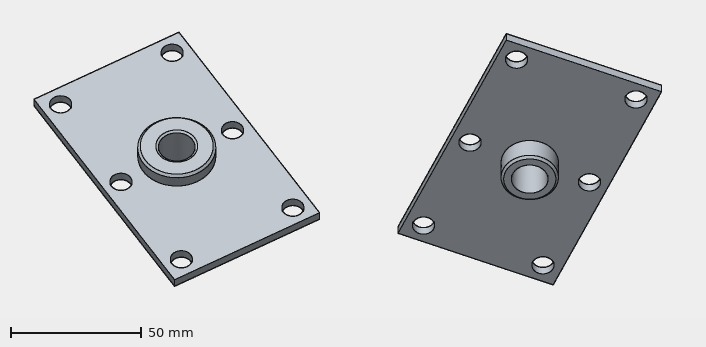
import cadquery as cq

PLATE_LENGTH = 105.0
PLATE_WIDTH = 65.0
PLATE_THICKNESS = 4.0
MOUNT_HOLE_DIAMETER = 8.5
MOUNT_HOLE_SPACING_X = 45.0
MOUNT_HOLE_SPACING_Y = 50.0

FLANGE_DIAMETER = 30.0
FLANGE_HEIGHT = 6.0
BARREL_DIAMETER = 22.0
BARREL_PROJECTION = 10.0
BORE_DIAMETER = 14.1
OUTER_CHAMFER = 1.0
BORE_CHAMFER_WIDTH = 1.0
BORE_CHAMFER_DEPTH = 0.58

FLANGE_TOP = PLATE_THICKNESS + FLANGE_HEIGHT


def make_plate():
    """Flat plate with two rows of three mounting holes and a seat for the bushing."""
    return (
        cq.Workplane("XY")
        .rect(PLATE_LENGTH, PLATE_WIDTH)
        .extrude(PLATE_THICKNESS)
        .faces(">Z")
        .workplane()
        .rarray(MOUNT_HOLE_SPACING_X, MOUNT_HOLE_SPACING_Y, 3, 2)
        .hole(MOUNT_HOLE_DIAMETER)
        .faces(">Z")
        .workplane(origin=(0, 0, PLATE_THICKNESS))
        .hole(BARREL_DIAMETER)
    )


def make_bushing():
    """Bushing whose flange rests on the plate and whose barrel passes through it."""
    barrel = (
        cq.Workplane("XY", origin=(0, 0, -BARREL_PROJECTION))
        .circle(BARREL_DIAMETER / 2)
        .extrude(BARREL_PROJECTION + PLATE_THICKNESS)
    )
    flange = (
        cq.Workplane("XY", origin=(0, 0, PLATE_THICKNESS))
        .circle(FLANGE_DIAMETER / 2)
        .extrude(FLANGE_HEIGHT)
    )
    body = barrel.union(flange)
    body = body.faces(">Z or <Z").edges().chamfer(OUTER_CHAMFER)
    body = body.faces(">Z").workplane(origin=(0, 0, FLANGE_TOP)).hole(BORE_DIAMETER)
    bore_mouth = cq.selectors.RadiusNthSelector(0)
    return body.faces(">Z").edges(bore_mouth).chamfer(BORE_CHAMFER_WIDTH, BORE_CHAMFER_DEPTH)


plate = make_plate()
bushing = make_bushing()

result = cq.Compound.makeCompound([plate.val(), bushing.val()])